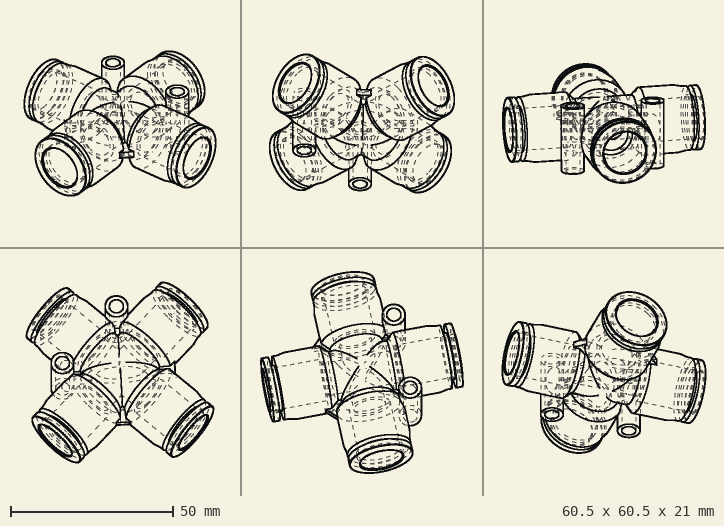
import cadquery as cq
import math

arm_reach = 30.25
shell_dia = 21.0
shell_radius = shell_dia / 2
core_radius = 8.3

shoulder_start = 9.2
shoulder_end = 11.6
taper_start = 22.55
nose_start = 25.1
nose_end = 26.4
nose_lip_end = 26.5
collar_start = 27.8
collar_rim = 29.7
collar_face = 29.8

nose_radius = 10.0
nose_lip_radius = 9.25
neck_radius = 7.25
collar_face_radius = 9.8

flow_radius = 5.0
socket_radius = 6.5
lead_in_radius = 6.65
lead_in_depth = 1.0
mouth_radius = 6.95
mouth_depth = 0.3

lug_offset = 12.6
lug_radius = 3.5
lug_hole_radius = 2.2

web_thickness = 2.05
web_corner = 24.1


def revolve_about_x(points):
    """Revolve a closed (distance, radius) outline around the X axis."""
    return cq.Workplane("XY").polyline(points).close().revolve(360, (0, 0, 0), (1, 0, 0))


def on_all_arms(body):
    """Combine four copies of a +X arm body, turned about Z."""
    cross = body
    for quarter in range(1, 4):
        cross = cross.union(body.rotate((0, 0, 0), (0, 0, 1), 90 * quarter))
    return cross


def lug_cylinders(radius):
    """Full-height cylinders at both lug positions."""
    return (
        cq.Workplane("XY", origin=(0, 0, -shell_radius))
        .pushPoints([(-lug_offset, lug_offset), (lug_offset, lug_offset)])
        .circle(radius)
        .extrude(shell_dia)
    )


arm = revolve_about_x([
    (0, 0),
    (0, core_radius),
    (shoulder_start, core_radius),
    (shoulder_end, shell_radius),
    (taper_start, shell_radius),
    (nose_start, nose_radius),
    (nose_end, nose_radius),
    (nose_lip_end, nose_lip_radius),
    (nose_lip_end, neck_radius),
    (collar_start, neck_radius),
    (collar_start, nose_radius),
    (collar_rim, nose_radius),
    (collar_face, collar_face_radius),
    (arm_reach, mouth_radius),
    (arm_reach, 0),
])

arm_bore = revolve_about_x([
    (0, 0),
    (0, flow_radius),
    (shoulder_end, flow_radius),
    (shoulder_end, socket_radius),
    (arm_reach - lead_in_depth, socket_radius),
    (arm_reach - mouth_depth, lead_in_radius),
    (arm_reach, mouth_radius),
    (arm_reach, 0),
])

web_side = web_corner * math.sqrt(2)
web = cq.Workplane("XY").box(web_side, web_side, web_thickness).rotate((0, 0, 0), (0, 0, 1), 45)

result = (
    on_all_arms(arm)
    .union(web)
    .union(lug_cylinders(lug_radius))
    .cut(lug_cylinders(lug_hole_radius))
    .cut(on_all_arms(arm_bore))
)